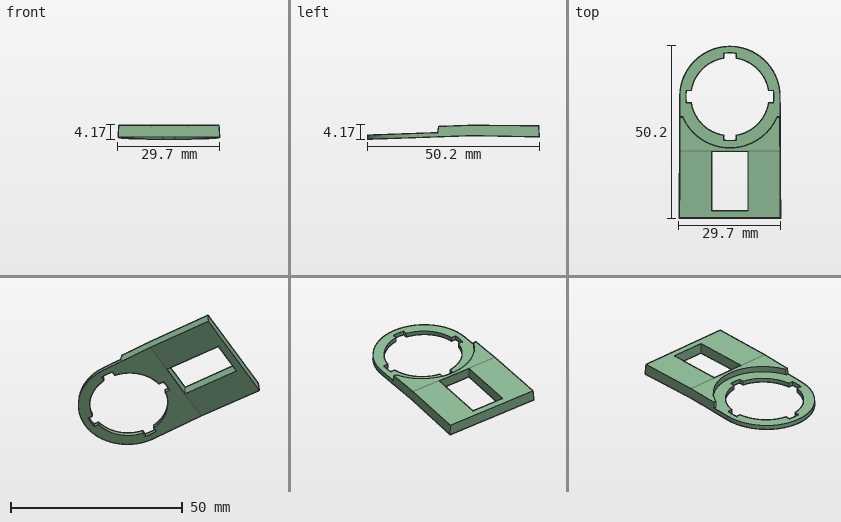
import cadquery as cq
import math

ring_outer_radius = 14.7
ring_hole_radius = 11.4
notch_radius = 12.8
notch_width = 3.55
ring_thickness = 1.3
front_y = -35.5
front_half_width = 14.9
side_draft = 3.5
plate_tilt = 2.0

bend_y = -15.85
bend_thickness = 3.1
front_bottom_z = 0.7
front_top_z = 4.0

step_bottom_y = -5.75
step_run = 0.3
recess_radius = 15.0

window_width = 10.5
window_rear_y = -16.0
window_front_y = -33.25
clearance = 2.5

rise = math.tan(math.radians(plate_tilt))


def bottom_z(y):
    """Height of the underside of the tilted rear half."""
    return (ring_outer_radius - y) * rise


def ring_top_z(y):
    return bottom_z(y) + ring_thickness


def block_top_z(y):
    return bottom_z(y) + bend_thickness


def side_profile(points):
    """Solid of a YZ outline, wide enough to cover the whole part in X."""
    half_length = front_half_width + clearance
    return cq.Workplane("YZ").polyline(points).close().extrude(half_length, both=True)


def drafted_outline():
    """Round-ended plan outline with all walls drafted."""
    return (
        cq.Workplane("XY")
        .moveTo(ring_outer_radius, 0)
        .threePointArc((0, ring_outer_radius), (-ring_outer_radius, 0))
        .lineTo(-front_half_width, front_y)
        .lineTo(front_half_width, front_y)
        .close()
        .extrude(bottom_z(bend_y) + bend_thickness + clearance, taper=side_draft)
    )


def bent_plate():
    """Thin tilted ring plate stepping up to the thick bent block."""
    rear_y = ring_outer_radius + clearance
    end_y = front_y - clearance
    step_top_y = step_bottom_y - step_run
    overrun = (end_y - bend_y) / (front_y - bend_y)
    end_bottom_z = bottom_z(bend_y) + (front_bottom_z - bottom_z(bend_y)) * overrun
    end_top_z = block_top_z(bend_y) + (front_top_z - block_top_z(bend_y)) * overrun
    return side_profile([
        (rear_y, bottom_z(rear_y)),
        (bend_y, bottom_z(bend_y)),
        (end_y, end_bottom_z),
        (end_y, end_top_z),
        (bend_y, block_top_z(bend_y)),
        (step_top_y, block_top_z(step_top_y)),
        (step_bottom_y, ring_top_z(step_bottom_y)),
        (rear_y, ring_top_z(rear_y)),
    ])


def ring_cutter(shape):
    """Tilt a cutter made about the Z axis square to the ring, at its top face."""
    return shape.rotate((0, 0, 0), (1, 0, 0), -plate_tilt).translate((0, 0, ring_top_z(0)))


def recess():
    """Round seat, flush with the top face of the ring."""
    return ring_cutter(cq.Workplane("XY").circle(recess_radius).extrude(bend_thickness))


def notched_hole():
    """Through hole with four locating notches."""
    depth = 2 * clearance
    hole = cq.Workplane("XY").circle(ring_hole_radius).extrude(depth, both=True)
    notch_limit = cq.Workplane("XY").circle(notch_radius).extrude(depth, both=True)
    for angle in (0, 90):
        bar = cq.Workplane("XY").box(2 * recess_radius, notch_width, 2 * depth)
        bar = bar.rotate((0, 0, 0), (0, 0, 1), angle)
        hole = hole.union(bar.intersect(notch_limit))
    return ring_cutter(hole)


def window():
    """Rectangular opening through the block."""
    length = window_rear_y - window_front_y
    height = 2 * (block_top_z(bend_y) + clearance)
    opening = cq.Workplane("XY").box(window_width, length, height)
    return opening.translate((0, (window_rear_y + window_front_y) / 2, 0))


result = (
    drafted_outline()
    .intersect(bent_plate())
    .cut(recess())
    .cut(notched_hole())
    .cut(window())
)